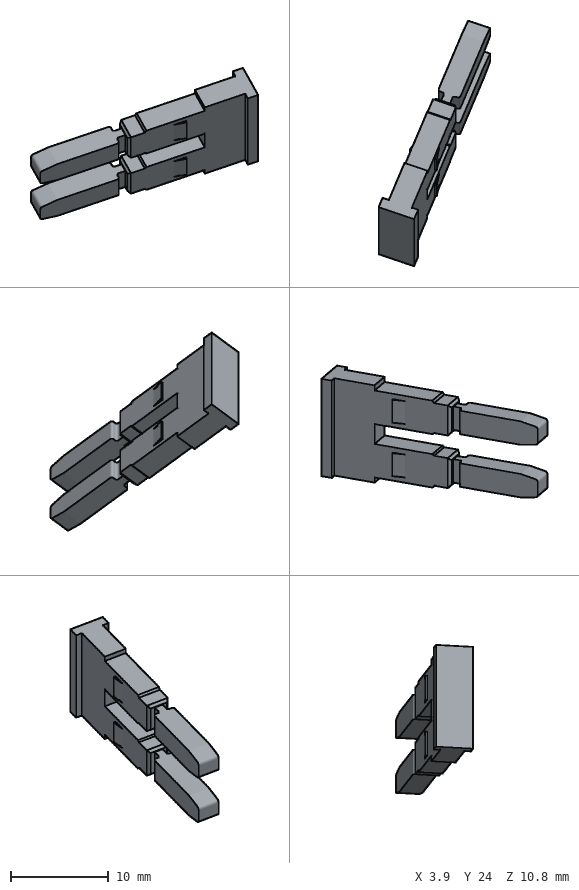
import cadquery as cq
import math

total_length = 24.0
head_end = 1.15
block_end = 5.66
latch_start = 7.75
latch_end = 9.07
step_start = 12.17
step_end = 12.35
nose_end = 14.18
shoulder = 15.15
taper_start = 22.05

part_height = 10.8
head_width = 3.9
body_width = 2.52

arm_inner = 1.1
arm_outer = 4.82
nose_inner = 1.25
nose_outer = 4.58
nose_chamfer = 0.3

latch_span = 2.98
latch_height = 2.55
latch_center = (arm_inner + arm_outer) / 2

prong_width = 2.4
prong_height = 2.62
prong_center = (nose_inner + nose_outer) / 2
neck_width = 0.95
shoulder_radius = 0.25
taper_angle = 10.0
tip_radius = 0.35


def block(width, start, end, bottom, top):
    """Box centred on X, spanning two distances from the back and two heights."""
    size_y = end - start
    size_z = top - bottom
    center = (0, -(start + end) / 2, (bottom + top) / 2)
    return cq.Workplane("XY").box(width, size_y, size_z).translate(center)


def arm():
    """Upper insulated arm with a sloped step down to its nose."""
    sleeve = (
        cq.Workplane("YZ")
        .polyline([
            (-head_end, arm_inner),
            (-step_start, arm_inner),
            (-step_end, nose_inner),
            (-step_end, nose_outer),
            (-step_start, arm_outer),
            (-head_end, arm_outer),
        ])
        .close()
        .extrude(body_width / 2, both=True)
    )
    nose = block(body_width, step_start, nose_end, nose_inner, nose_outer)
    nose = nose.faces("<Y").chamfer(nose_chamfer)
    return sleeve.union(nose)


def latches():
    """Pair of wedges that fade into the sides of the upper arm."""
    return (
        cq.Workplane("XY", origin=(0, 0, latch_center))
        .polyline([
            (-latch_span / 2, -latch_start),
            (latch_span / 2, -latch_start),
            (body_width / 2, -latch_end),
            (-body_width / 2, -latch_end),
        ])
        .close()
        .extrude(latch_height / 2, both=True)
    )


def prong():
    """Upper contact prong: narrow neck, rounded shoulders and tapered tip."""
    bottom = prong_center - prong_height / 2
    top = prong_center + prong_height / 2
    neck = block(neck_width, step_end, shoulder, bottom, top)
    blade = block(prong_width, shoulder, total_length, bottom, top)
    plan = neck.union(blade)
    shoulder_edges = cq.selectors.BoxSelector(
        (-prong_width, -shoulder - shoulder_radius, bottom - shoulder_radius),
        (prong_width, -shoulder + shoulder_radius, top + shoulder_radius),
    )
    plan = plan.edges("|Z").edges(shoulder_edges).fillet(shoulder_radius)

    taper_drop = (total_length - taper_start) * math.tan(math.radians(taper_angle))
    side_profile = (
        cq.Workplane("YZ")
        .polyline([
            (-step_end, bottom),
            (-taper_start, bottom),
            (-total_length, bottom + taper_drop),
            (-total_length, top - taper_drop),
            (-taper_start, top),
            (-step_end, top),
        ])
        .close()
        .extrude(prong_width / 2, both=True)
        .faces("<Y")
        .edges("|X")
        .fillet(tip_radius)
    )
    return plan.intersect(side_profile)


half_height = part_height / 2
head = block(head_width, 0, head_end, -half_height, half_height)
body = block(body_width, 0, block_end, -half_height, half_height)
upper_leg = arm().union(latches()).union(prong())
lower_leg = upper_leg.mirror("XY")

result = head.union(body).union(upper_leg).union(lower_leg)